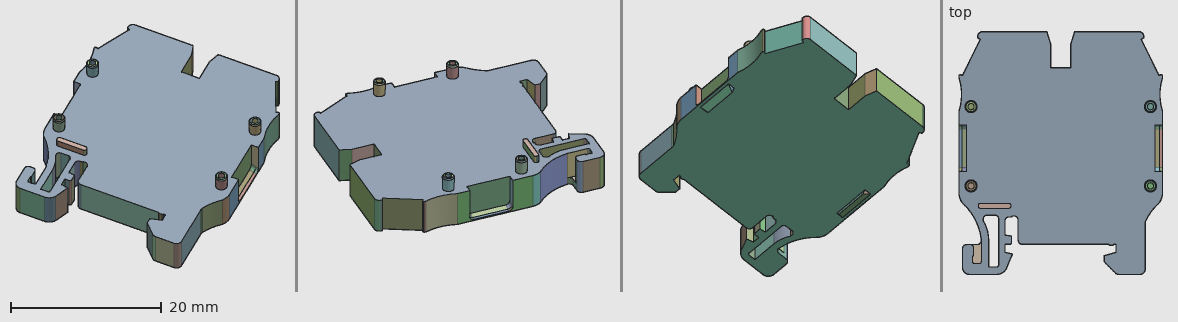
import cadquery as cq
import math

width = 27.0
half_width = width / 2
height = 32.2
thickness = 5.0
rail_seat_y = 4.0

notch_half_width = 1.32
notch_mouth_half_width = 1.85
notch_bottom_y = 27.4
notch_taper_y = 30.55
lip_half_width = 11.0
lip_radius = 0.68
lip_bottom_y = 31.33
shoulder_top = (10.65, 31.17)
shoulder_bottom = (13.05, 26.37)
ridge_top = (13.27, 26.5)
ridge_edge_y = 26.45

waist_top_y = 26.1
waist_bottom_y = 21.6
waist_depth = 0.35
flank_start_y = 10.75
flank_round_mid = (13.4, 10.18)
flank_round_end = (13.07, 9.53)
flank_arc_mid = (11.6, 7.73)
flank_end = (10.53, 4.6)

foot_left_x = -13.05
foot_tip = (-6.38, 2.75)
foot_toe_start_x = -8.47
foot_toe_mid = (-7.73, 0.23)
foot_toe_end = (-7.2, 0.75)
foot_outer_radius = 1.0
hook_top_radius = 0.58
hook_inner_radius = 0.55
catch_x = -7.37
catch_root_y = 2.95
tooth_x = -6.5
tooth_top_y = 5.12
tooth_root_y = 5.25
tooth_radius = 0.23
gap_right_x = -5.67
gap_left_top_y = 7.63
gap_right_top_y = 7.75
gap_step_x = -6.47
gap_left_radius = 0.5
gap_right_radius = 0.5
gap_mouth_radius = 0.6

window_left_x = -10.25
window_right_x = -8.25
window_bottom_left_x = -9.53
window_bottom_y = 1.03
window_top_y = 7.85
window_arc_bottom_y = 4.67
window_arc_mid = (-9.72, 5.92)
window_arc_top_y = 7.12
window_radius = 0.45
window_bottom_radius = 0.23

slot_floor_z = 1.03
slot_bottom_y = 1.48
slot_left_x = -11.7
slot_upper_left_x = -11.55
slot_step_y = 2.45
slot_mouth_radius = 0.45
slot_bottom_radius = 0.23

fixed_foot_right_x = 11.2
fixed_foot_left_x = 7.3
fixed_foot_top_y = 6.63
fixed_foot_blend_mid = (11.25, 7.1)
fixed_foot_blend_end = (11.4, 7.47)
jaw_tip_x = 5.73
jaw_tip_top_y = 2.5
jaw_tip_bottom_y = 1.7
jaw_root_y = 2.95
jaw_bottom_x = 7.45
jaw_bottom_radius = 0.75
fixed_foot_radius = 0.75
seat_bead_start_x = 6.35
seat_bead_end_x = 7.02
seat_bead_height = 0.13
seat_bead_slope = 0.13

pin_x = 11.88
pin_ys = (11.75, 22.25)
pin_root_radius = 0.77
pin_radius = 0.8
pin_height = 2.03
pin_chamfer_width = 0.13
pin_chamfer_height = 0.2
pin_bore_radius = 0.42

rib_left_x = -10.9
rib_right_x = -6.6
rib_center_y = 9.1
rib_width = 0.68
rib_height = 1.03
rib_left_radius = 0.25
rib_right_radius = 0.32

recess_center_y = 16.75
recess_length = 6.15
recess_depth = 1.03
recess_ledge_depth = 0.45
recess_ledge_z = 0.2
recess_radius = 0.55
wedge_outer_x = 13.07
wedge_inner_x = 12.05
wedge_drop = 0.58
wedge_root_length = 5.35
wedge_tip_length = 4.57
wedge_slope = wedge_drop / (wedge_outer_x - wedge_inner_x)


def rounded_outline(corners):
    """Closed outline from (x, y, radius) corners; a zero radius leaves the corner sharp."""
    outline = None
    for i, (x, y, radius) in enumerate(corners):
        before = cq.Vector(*corners[i - 1][:2])
        after = cq.Vector(*corners[(i + 1) % len(corners)][:2])
        corner = cq.Vector(x, y)
        to_before = (before - corner).normalized()
        to_after = (after - corner).normalized()
        half_angle = to_before.getAngle(to_after) / 2
        setback = radius / math.tan(half_angle)
        start = corner + to_before * setback
        if outline is None:
            outline = cq.Workplane("XY").moveTo(start.x, start.y)
        else:
            outline = outline.lineTo(start.x, start.y)
        if radius > 0:
            bisector = (to_before + to_after).normalized()
            middle = corner + bisector * (radius / math.sin(half_angle) - radius)
            end = corner + to_after * setback
            outline = outline.threePointArc((middle.x, middle.y), (end.x, end.y))
    return outline.close()


def make_head():
    """Symmetric main plate, from the top edge down to the rail seat."""
    waist_mid_y = (waist_top_y + waist_bottom_y) / 2
    lip_inset = lip_radius * (1 - math.sqrt(0.5))
    right_half = (
        cq.Workplane("XY")
        .moveTo(0, notch_bottom_y)
        .lineTo(notch_half_width, notch_bottom_y)
        .lineTo(notch_half_width, notch_taper_y)
        .lineTo(notch_mouth_half_width, height)
        .lineTo(lip_half_width - lip_radius, height)
        .threePointArc(
            (lip_half_width - lip_inset, height - lip_inset),
            (lip_half_width, height - lip_radius),
        )
        .lineTo(lip_half_width, lip_bottom_y)
        .lineTo(*shoulder_top)
        .lineTo(*shoulder_bottom)
        .lineTo(*ridge_top)
        .lineTo(half_width, ridge_edge_y)
        .lineTo(half_width, waist_top_y)
        .threePointArc((half_width - waist_depth, waist_mid_y), (half_width, waist_bottom_y))
        .lineTo(half_width, flank_start_y)
        .threePointArc(flank_round_mid, flank_round_end)
        .threePointArc(flank_arc_mid, flank_end)
        .lineTo(flank_end[0], rail_seat_y)
        .lineTo(0, rail_seat_y)
        .close()
        .extrude(thickness)
    )
    return right_half.union(right_half.mirror("YZ"))


def make_spring_foot():
    """Hooked foot on the left, with a curved toe and a catch for the rail."""
    base = rounded_outline([
        (foot_left_x, 0, foot_outer_radius),
        (foot_toe_start_x, 0, 0),
        (foot_toe_start_x, flank_end[1], 0),
        (-flank_end[0], flank_end[1], 0),
        (-flank_end[0], rail_seat_y, hook_inner_radius),
        (foot_left_x, rail_seat_y, hook_top_radius),
    ]).extrude(thickness)
    toe = (
        cq.Workplane("XY")
        .moveTo(foot_toe_start_x, 0)
        .threePointArc(foot_toe_mid, foot_toe_end)
        .lineTo(*foot_tip)
        .lineTo(catch_x, catch_root_y)
        .lineTo(catch_x, flank_end[1])
        .lineTo(foot_toe_start_x, flank_end[1])
        .close()
        .extrude(thickness)
    )
    return base.union(toe)


def make_gap():
    """Space between the spring foot and the plate, leaving a tooth on the foot."""
    mouth_x = gap_right_x + gap_mouth_radius
    gap = rounded_outline([
        (catch_x, tooth_root_y, 0),
        (tooth_x, tooth_top_y, 0),
        (tooth_x, rail_seat_y, tooth_radius),
        (catch_x, rail_seat_y, 0),
        (catch_x, catch_root_y, 0),
        (gap_right_x, catch_root_y, 0),
        (gap_right_x, gap_right_top_y, gap_right_radius),
        (gap_step_x, gap_right_top_y, 0),
        (gap_step_x, gap_left_top_y, 0),
        (catch_x, gap_left_top_y, gap_left_radius),
    ]).extrude(thickness)
    mouth_round = (
        cq.Workplane("XY")
        .moveTo(gap_right_x, rail_seat_y)
        .lineTo(mouth_x, rail_seat_y)
        .radiusArc((gap_right_x, rail_seat_y + gap_mouth_radius), gap_mouth_radius)
        .close()
        .extrude(thickness)
    )
    return gap.union(mouth_round)


def make_window():
    """Through opening whose left side follows the curved flank."""
    return (
        cq.Workplane("XY")
        .moveTo(window_bottom_left_x, window_bottom_y)
        .lineTo(window_bottom_left_x, window_arc_bottom_y)
        .threePointArc(window_arc_mid, (window_left_x, window_arc_top_y))
        .lineTo(window_left_x, window_top_y)
        .lineTo(window_right_x, window_top_y)
        .lineTo(window_right_x, window_bottom_y)
        .close()
        .extrude(thickness)
        .edges("|Z and >Y")
        .fillet(window_radius)
        .edges("|Z and >X and <Y")
        .fillet(window_bottom_radius)
    )


def make_hook_slot():
    """Blind slot in the hook, open toward the top face and the hollow above the hook."""
    slot = rounded_outline([
        (slot_left_x, slot_bottom_y, slot_bottom_radius),
        (-flank_end[0], slot_bottom_y, slot_bottom_radius),
        (-flank_end[0], flank_end[1], 0),
        (foot_left_x, flank_end[1], 0),
        (foot_left_x, rail_seat_y, 0),
        (slot_upper_left_x, rail_seat_y, slot_mouth_radius),
        (slot_upper_left_x, slot_step_y, 0),
        (slot_left_x, slot_step_y, 0),
    ])
    return slot.extrude(thickness - slot_floor_z).translate((0, 0, slot_floor_z))


def make_fixed_foot():
    """Rigid foot on the right, with a jaw that grips under the rail."""
    foot = rounded_outline([
        (jaw_bottom_x, 0, jaw_bottom_radius),
        (fixed_foot_right_x, 0, fixed_foot_radius),
        (fixed_foot_right_x, fixed_foot_top_y, 0),
        (fixed_foot_left_x, fixed_foot_top_y, 0),
        (fixed_foot_left_x, jaw_root_y, 0),
        (jaw_tip_x, jaw_tip_top_y, 0),
        (jaw_tip_x, jaw_tip_bottom_y, 0),
    ]).extrude(thickness)
    blend = (
        cq.Workplane("XY")
        .moveTo(fixed_foot_right_x, fixed_foot_top_y)
        .threePointArc(fixed_foot_blend_mid, fixed_foot_blend_end)
        .lineTo(fixed_foot_left_x, fixed_foot_blend_end[1])
        .lineTo(fixed_foot_left_x, fixed_foot_top_y)
        .close()
        .extrude(thickness)
    )
    bead_y = rail_seat_y - seat_bead_height
    seat_bead = (
        cq.Workplane("XY")
        .polyline([
            (seat_bead_start_x, rail_seat_y),
            (seat_bead_start_x + seat_bead_slope, bead_y),
            (seat_bead_end_x - seat_bead_slope, bead_y),
            (seat_bead_end_x, rail_seat_y),
        ])
        .close()
        .extrude(thickness)
    )
    return foot.union(blend).union(seat_bead)


def make_pin():
    """Hollow locating pin, slightly wider above its root and bevelled at the tip, on Z = 0."""
    tip_radius = pin_radius - pin_chamfer_width
    return (
        cq.Workplane("XZ")
        .polyline([
            (pin_bore_radius, 0),
            (pin_root_radius, 0),
            (pin_radius, pin_height - pin_chamfer_height),
            (tip_radius, pin_height),
            (pin_bore_radius, pin_height),
        ])
        .close()
        .revolve(360, (0, 0, 0), (0, 1, 0))
    )


def make_rib():
    """Low rib on the top face."""
    bottom_y = rib_center_y - rib_width / 2
    top_y = rib_center_y + rib_width / 2
    return rounded_outline([
        (rib_left_x, bottom_y, rib_left_radius),
        (rib_right_x, bottom_y, rib_right_radius),
        (rib_right_x, top_y, rib_right_radius),
        (rib_left_x, top_y, rib_left_radius),
    ]).extrude(rib_height)


def make_side_recess():
    """Pocket in the right side, with a flat ledge and a floor rising inward."""
    inner_x = half_width - recess_depth
    ledge_x = half_width - recess_ledge_depth
    inner_z = recess_ledge_z + (ledge_x - inner_x) * wedge_slope
    return (
        cq.Workplane("XZ", origin=(0, recess_center_y, 0))
        .polyline([
            (half_width, recess_ledge_z),
            (ledge_x, recess_ledge_z),
            (inner_x, inner_z),
            (inner_x, thickness),
            (half_width, thickness),
        ])
        .close()
        .extrude(recess_length / 2, both=True)
        .faces("<Z or (not (|X or |Y or |Z))")
        .edges("not |Y")
        .fillet(recess_radius)
    )


def make_snap_wedge():
    """Wedge under the right side that fits the recess of the next part."""
    wedge = (
        cq.Workplane("XZ", origin=(0, recess_center_y, 0))
        .polyline([(wedge_outer_x, 0), (wedge_inner_x, 0), (wedge_inner_x, -wedge_drop)])
        .close()
        .extrude(wedge_root_length / 2, both=True)
    )
    end_taper = (
        cq.Workplane("YZ", origin=(wedge_inner_x, recess_center_y, 0))
        .polyline([
            (-wedge_root_length / 2, 0),
            (wedge_root_length / 2, 0),
            (wedge_tip_length / 2, -wedge_drop),
            (-wedge_tip_length / 2, -wedge_drop),
        ])
        .close()
        .extrude(wedge_outer_x - wedge_inner_x)
    )
    return wedge.intersect(end_taper)


result = make_head().union(make_spring_foot()).union(make_fixed_foot())
result = result.cut(make_gap()).cut(make_window()).cut(make_hook_slot())

recess = make_side_recess()
wedge = make_snap_wedge()
result = result.cut(recess).cut(recess.mirror("YZ"))
result = result.union(wedge).union(wedge.mirror("YZ"))

result = result.union(make_rib().translate((0, 0, thickness)))
for side in (-1, 1):
    for pin_y in pin_ys:
        result = result.union(make_pin().translate((side * pin_x, pin_y, thickness)))